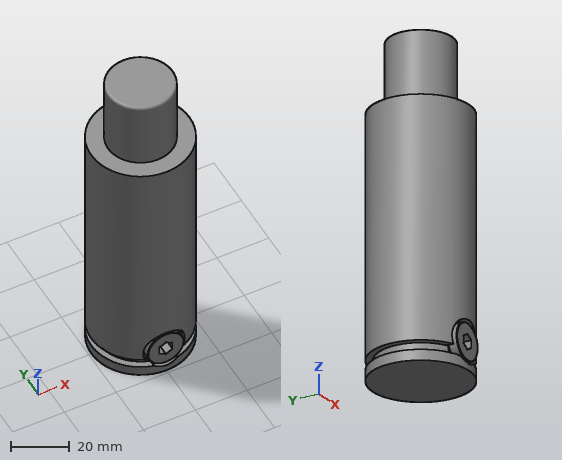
import cadquery as cq

total_height = 125.0
body_height = 98.2
body_diameter = 38.0
rod_diameter = 25.0
rod_edge_radius = 1.0

groove_bottom = 4.0
groove_top = 7.5
groove_diameter = 33.0

screw_height = 10.6
screw_diameter = 14.0
screw_face_offset = 18.6
screw_chamfer = 0.2
pocket_diameter = 16.0
pocket_floor_offset = 15.0
socket_across_flats = 5.0
socket_depth = 5.0


def make_cylinder_body():
    """Revolve the grooved body and its round-edged rod as one profile."""
    body_radius = body_diameter / 2
    groove_radius = groove_diameter / 2
    rod_radius = rod_diameter / 2
    profile = [
        (0, 0),
        (body_radius, 0),
        (body_radius, groove_bottom),
        (groove_radius, groove_bottom),
        (groove_radius, groove_top),
        (body_radius, groove_top),
        (body_radius, body_height),
        (rod_radius, body_height),
        (rod_radius, total_height),
        (0, total_height),
    ]
    body = cq.Workplane("XZ").polyline(profile).close().revolve(360, (0, 0), (0, 1))
    return body.faces(">Z").edges().fillet(rod_edge_radius)


def screw_plane(offset):
    """Plane facing -Y on the screw axis, at a distance from the body axis."""
    return cq.Workplane("XZ", origin=(0, -offset, screw_height))


def make_pocket():
    depth = body_diameter / 2 - pocket_floor_offset
    return screw_plane(pocket_floor_offset).circle(pocket_diameter / 2).extrude(depth)


def make_screw():
    length = screw_face_offset - pocket_floor_offset
    head = screw_plane(pocket_floor_offset).circle(screw_diameter / 2).extrude(length)
    return head.faces("<Y").chamfer(screw_chamfer)


def make_socket():
    """Hexagonal key socket with two of its corners pointing along Z."""
    return (
        screw_plane(screw_face_offset)
        .polygon(6, socket_across_flats, circumscribed=True)
        .extrude(-socket_depth)
    )


result = make_cylinder_body().cut(make_pocket()).union(make_screw()).cut(make_socket())